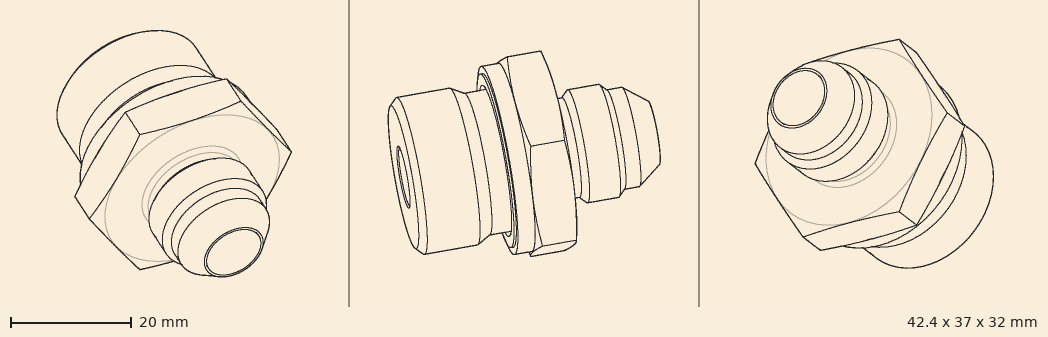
import cadquery as cq
import math

length = 42.4

thread_radius = 13.25
thread_chamfer = 1.2
thread_end_x = 10.15
relief_radius = 11.95
relief_start_x = 12.42

lip_radius = 14.63
lip_x = 15.6
recess_radius = 12.7
recess_depth = 0.75
collar_radius = 15.85
collar_x = 16.0

hex_across_flats = 32.0
hex_start_x = 18.9
hex_end_x = 26.0
hex_chamfer_angle = 15.0
hex_face_radius = 15.95

neck_radius = 8.4
neck_fillet = 0.75
cone_thread_radius = 9.55
cone_thread_start_x = 29.5
cone_thread_end_x = 34.75
cone_thread_chamfer = cone_thread_radius - neck_radius
nose_start_x = 38.45
nose_tip_radius = 5.4

bore_radius = 4.95
bore_chamfer = 0.25


def revolve_about_x(profile):
    return profile.close().revolve(360, (0, 0, 0), (1, 0, 0))


def turned_body():
    fillet_shift = neck_fillet * (1 - math.sqrt(0.5))
    return revolve_about_x(
        cq.Workplane("XY")
        .moveTo(0, 0)
        .lineTo(0, thread_radius - thread_chamfer)
        .lineTo(thread_chamfer, thread_radius)
        .lineTo(thread_end_x, thread_radius)
        .lineTo(relief_start_x, relief_radius)
        .lineTo(lip_x + recess_depth, relief_radius)
        .lineTo(lip_x, recess_radius)
        .lineTo(lip_x, lip_radius)
        .lineTo(collar_x, lip_radius)
        .lineTo(collar_x, collar_radius)
        .lineTo(hex_end_x, collar_radius)
        .lineTo(hex_end_x, neck_radius + neck_fillet)
        .threePointArc(
            (hex_end_x + fillet_shift, neck_radius + fillet_shift),
            (hex_end_x + neck_fillet, neck_radius),
        )
        .lineTo(cone_thread_start_x - cone_thread_chamfer, neck_radius)
        .lineTo(cone_thread_start_x, cone_thread_radius)
        .lineTo(cone_thread_end_x, cone_thread_radius)
        .lineTo(cone_thread_end_x + cone_thread_chamfer, neck_radius)
        .lineTo(nose_start_x, neck_radius)
        .lineTo(length, nose_tip_radius)
        .lineTo(length, 0)
    )


def chamfered_hexagon():
    """Hexagonal prism whose corners are turned back by a cone at each face."""
    corner_radius = hex_across_flats / math.sqrt(3)
    corner_drop = (corner_radius - hex_face_radius) * math.tan(math.radians(hex_chamfer_angle))
    prism = (
        cq.Workplane("YZ", origin=(hex_start_x, 0, 0))
        .polygon(6, 2 * corner_radius)
        .extrude(hex_end_x - hex_start_x)
    )
    envelope = revolve_about_x(
        cq.Workplane("XY")
        .moveTo(hex_start_x, 0)
        .lineTo(hex_start_x, hex_face_radius)
        .lineTo(hex_start_x + corner_drop, corner_radius)
        .lineTo(hex_end_x - corner_drop, corner_radius)
        .lineTo(hex_end_x, hex_face_radius)
        .lineTo(hex_end_x, 0)
    )
    return prism.intersect(envelope)


def bore():
    return revolve_about_x(
        cq.Workplane("XY")
        .moveTo(0, 0)
        .lineTo(0, bore_radius + bore_chamfer)
        .lineTo(bore_chamfer, bore_radius)
        .lineTo(length, bore_radius)
        .lineTo(length, 0)
    )


result = turned_body().union(chamfered_hexagon()).cut(bore())